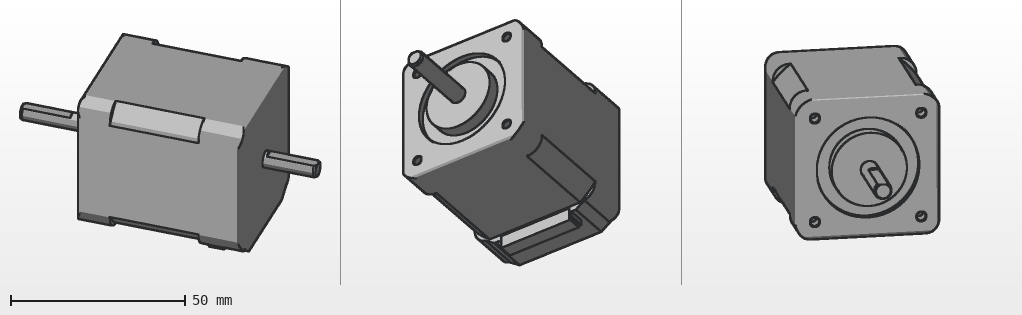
import cadquery as cq
import math

shaft_length = 90.0
shaft_diameter = 5.0
shaft_chamfer_length = 0.7
shaft_chamfer_depth = 0.4
flat_length = 15.0
flat_depth = 0.5

body_width = 42.0
body_start = 24.0
front_cover_length = 10.0
stator_length = 27.0
rear_cover_length = 13.0
corner_radius = 5.0
rim_fillet = 1.1
stator_flat_width = 31.5

pilot_diameter = 22.0
pilot_height = 2.0
recess_diameter = 30.0
recess_depth = 2.0

screw_spacing = 31.05
screw_hole_diameter = 2.5
screw_hole_depth = 4.5
screw_countersink = 0.225
screw_tip_angle = 118.0

hood_drop = 2.0
hood_overlap = 0.7
hood_top_width = 36.0
hood_bottom_width = 28.4
connector_height = 4.5
socket_width = 25.3
socket_length = 5.2
socket_drop = 3.6
plug_width = 24.2
plug_length = 4.7
plug_wall = 0.3
plug_recess_depth = 0.3

half_width = body_width / 2
shaft_radius = shaft_diameter / 2
front_cover_end = body_start + front_cover_length
rear_cover_start = front_cover_end + stator_length


def block(x_start, length, width, z_bottom, z_top):
    """Box starting at x_start, centred on Y, between two heights."""
    size = (length, width, z_top - z_bottom)
    return cq.Workplane("XY").box(*size, centered=(False, True, False)).translate((x_start, 0, z_bottom))


def disc(x_start, length, diameter):
    """Cylinder along the motor axis."""
    return cq.Workplane("YZ", origin=(x_start, 0, 0)).circle(diameter / 2).extrude(length)


def cover(x_start, length, rim_side):
    """End cover: straight rim fillets on one face, then corners rounded along X."""
    square = block(x_start, length, body_width, -half_width, half_width)
    square = square.faces(rim_side).edges().fillet(rim_fillet)
    rounded = block(x_start, length, body_width, -half_width, half_width)
    rounded = rounded.edges("|X").fillet(corner_radius)
    return square.intersect(rounded)


def stator():
    """Square stack whose corners are turned to a circle about the motor axis."""
    square = block(front_cover_end, stator_length, body_width, -half_width, half_width)
    corner_diameter = math.hypot(body_width, stator_flat_width)
    return square.intersect(disc(front_cover_end, stator_length, corner_diameter))


def shaft():
    """Through shaft with a tapered tip and a flat on top at each end."""
    tip_radius = shaft_radius - shaft_chamfer_depth
    profile = [
        (0, 0),
        (0, tip_radius),
        (shaft_chamfer_length, shaft_radius),
        (shaft_length - shaft_chamfer_length, shaft_radius),
        (shaft_length, tip_radius),
        (shaft_length, 0),
    ]
    rod = cq.Workplane("XY").polyline(profile).close().revolve(360, (0, 0, 0), (1, 0, 0))
    for flat_start in (0, shaft_length - flat_length):
        rod = rod.cut(
            block(flat_start, flat_length, shaft_diameter, shaft_radius - flat_depth, shaft_diameter)
        )
    return rod


def face_recess():
    """Ring-shaped recess around the pilot boss."""
    return disc(body_start, recess_depth, recess_diameter).cut(
        disc(body_start, recess_depth, pilot_diameter)
    )


def screw_holes():
    """Four blind countersunk holes with pointed bottoms in the front face."""
    radius = screw_hole_diameter / 2
    tip_length = radius / math.tan(math.radians(screw_tip_angle / 2))
    profile = [
        (0, 0),
        (0, radius + screw_countersink),
        (screw_countersink, radius),
        (screw_hole_depth, radius),
        (screw_hole_depth + tip_length, 0),
    ]
    hole = cq.Workplane("XY").polyline(profile).close().revolve(360, (0, 0, 0), (1, 0, 0))
    holes = cq.Workplane("XY")
    for y_side in (-1, 1):
        for z_side in (-1, 1):
            place = (body_start, y_side * screw_spacing / 2, z_side * screw_spacing / 2)
            holes = holes.add(hole.translate(place))
    return holes.combine()


def connector():
    """Tapered hood under the rear cover with a stepped connector, recessed on its face.

    The hood sides run up into the rounded lower corners of the cover.
    """
    hood_outline = [
        (-hood_top_width / 2, -half_width + hood_overlap),
        (-hood_bottom_width / 2, -half_width - hood_drop),
        (hood_bottom_width / 2, -half_width - hood_drop),
        (hood_top_width / 2, -half_width + hood_overlap),
        (0, 0),
    ]
    hood = cq.Workplane("YZ", origin=(rear_cover_start, 0, 0)).polyline(hood_outline).close()
    hood = hood.extrude(rear_cover_length)
    socket = block(rear_cover_start, socket_length, socket_width, -half_width - socket_drop, 0)
    plug = block(rear_cover_start, plug_length, plug_width, -half_width - connector_height, 0)
    recess = block(
        rear_cover_start,
        plug_recess_depth,
        plug_width - 2 * plug_wall,
        -half_width - connector_height,
        -half_width - plug_wall,
    )
    return hood.union(socket).union(plug).cut(recess)


result = (
    cover(body_start, front_cover_length, "<X")
    .union(stator())
    .union(cover(rear_cover_start, rear_cover_length, ">X"))
    .union(connector())
    .cut(face_recess())
    .union(disc(body_start - pilot_height, pilot_height, pilot_diameter))
    .union(shaft())
    .cut(screw_holes())
)